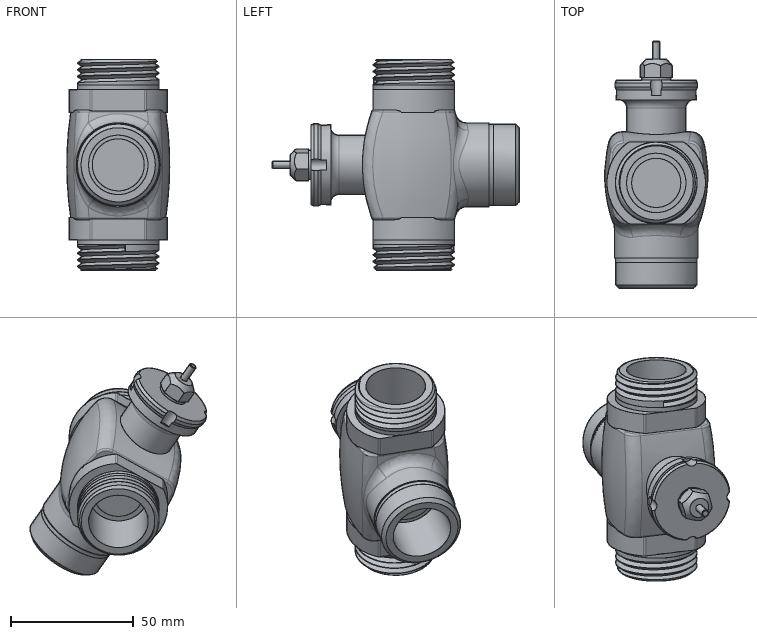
import cadquery as cq
import math

port_reach = 43.0
end_length = 10.5
end_start = port_reach - end_length
end_radius = 16.6
end_chamfer = 1.5
neck_ring_radius = 16.65
bore_radius = 12.1
bore_floor = 20.0

front_turn = 90
vertical_turns = (0, 180)

vertical_plug_radius = 10.0
front_plug_radius = 10.6
front_plug_length = 4.0

thread_pitch = 2.7
thread_depth = 1.8
groove_width = 2.5
groove_start = 1.4
groove_overlap = 0.2
groove_start_angle = 80

collar_bottom = 21.4
collar_top = 30.6
collar_radius = 20.06
collar_half_depth = 16.65
collar_corner_fillet = 1.5
core_end = 22.4
core_end_fillet = 1.0
core_half_width = 21.03
core_half_width_end = 19.3
core_side_radius = 56.6
core_side_center_y = 2.9
core_back = 20.9
core_back_end = 16.9
core_front = 19.0
core_front_end = 16.65
core_side_margin = 1.0
core_corner_fillet = 5.5

branch_radius = 17.1
branch_end = 30.6
branch_fillet = 4.6

bonnet_seat = 16.0
bonnet_neck_radius = 12.1
bonnet_flare_length = 3.3
bonnet_flare_radius = 14.7
flange_back = 33.8
rim_start = 37.8
rim_crest_start = 39.1
rim_crest_end = 40.6
flange_face = 41.9
flange_radius = 16.35
rim_radius = 17.0
notch_count = 4
notch_radius = 2.55
notch_center = 17.8
notch_floor = 35.65

nut_collar_radius = 6.0
nut_hex_start = 42.95
nut_end = 50.4
nut_across_flats = 11.75
nut_turn = 15
nut_end_radius = 4.1
stem_radius = 1.5
stem_end = 57.7
stem_chamfer = 0.3


def revolve_about_y(points):
    """Solid of revolution about Y from (radius, y) points."""
    return cq.Workplane("XY").polyline(points).close().revolve(360, (0, 0, 0), (0, 1, 0))


def cylinder_along_y(radius, start, end):
    return revolve_about_y([(0, start), (radius, start), (radius, end), (0, end)])


def side_barrel(side):
    """Barrel whose outer wall is the bulged core wall on the +X (1) or -X (-1) side."""
    axis_x = side * (core_half_width - core_side_radius)
    wall_end = side * core_half_width_end
    return (
        cq.Workplane("XZ", origin=(0, core_side_center_y, 0))
        .moveTo(axis_x, -core_end)
        .lineTo(wall_end, -core_end)
        .threePointArc((side * core_half_width, 0), (wall_end, core_end))
        .lineTo(axis_x, core_end)
        .close()
        .revolve(360, (axis_x, 0, 0), (axis_x, 1, 0))
    )


def make_core():
    slab = (
        cq.Workplane("YZ")
        .moveTo(-core_front_end, -core_end)
        .lineTo(core_back_end, -core_end)
        .threePointArc((core_back, 0), (core_back_end, core_end))
        .lineTo(-core_front_end, core_end)
        .threePointArc((-core_front, 0), (-core_front_end, -core_end))
        .close()
        .extrude(core_half_width + core_side_margin, both=True)
    )
    core = slab.intersect(side_barrel(1)).intersect(side_barrel(-1))
    corner_edges = core.edges("not(#Z or |X or |Y)").edges("not(<Z or >Z)")
    core = corner_edges.fillet(core_corner_fillet)
    return core.faces("<Z or >Z").edges().fillet(core_end_fillet)


def make_collar(bottom, top):
    """Round wrench collar with two flats facing -Y and +Y."""
    height = top - bottom
    base = cq.Workplane("XY", origin=(0, 0, bottom))
    collar = base.circle(collar_radius).extrude(height)
    flats = base.rect(2 * collar_radius, 2 * collar_half_depth).extrude(height)
    return collar.intersect(flats).edges("|Z").fillet(collar_corner_fillet)


def make_branch():
    ring = cylinder_along_y(neck_ring_radius, -end_start, 0)
    return ring.union(cylinder_along_y(branch_radius, -branch_end, 0))


def is_branch_root(edge):
    """Whether an edge lies where the branch leaves the core's -Y wall."""
    point = edge.positionAt(0.4)
    on_branch = math.isclose(math.hypot(point.x, point.z), branch_radius, abs_tol=0.02)
    return on_branch and -branch_end < point.y - branch_fillet


def make_core_with_branch():
    joined = make_core().union(make_branch()).val()
    root_edges = [edge for edge in joined.Edges() if is_branch_root(edge)]
    return cq.Workplane(joined.fillet(branch_fillet, root_edges))


def make_port_end():
    """Plain chamfered port end pointing along +Z."""
    return (
        cq.Workplane("XY", origin=(0, 0, end_start))
        .circle(end_radius)
        .extrude(end_length)
        .faces(">Z").edges().chamfer(end_chamfer)
    )


def make_threaded_end():
    """Port end pointing along +Z with a right-hand V groove cut into it."""
    helix_height = end_length - groove_start + thread_pitch / 2
    helix = cq.Wire.makeHelix(thread_pitch, helix_height, end_radius)
    flank_slope = groove_width / 2 / thread_depth
    mouth_half = groove_width / 2 + groove_overlap * flank_slope
    groove = (
        cq.Workplane("XZ")
        .moveTo(end_radius - thread_depth, 0)
        .lineTo(end_radius + groove_overlap, -mouth_half)
        .lineTo(end_radius + groove_overlap, mouth_half)
        .close()
        .sweep(cq.Workplane(helix), isFrenet=True)
        .rotate((0, 0, 0), (0, 0, 1), groove_start_angle)
        .translate((0, 0, end_start + groove_start))
    )
    return make_port_end().cut(groove)


def make_vertical_port():
    """Wrench collar, neck ring and threaded end of the upper port."""
    ring = cq.Workplane("XY").circle(neck_ring_radius).extrude(end_start)
    return make_collar(collar_bottom, collar_top).union(ring).union(make_threaded_end())


def make_port_bore():
    return cq.Workplane("XY", origin=(0, 0, bore_floor)).circle(bore_radius).extrude(port_reach - bore_floor)


def turn_about_x(body, angle):
    return body.rotate((0, 0, 0), (1, 0, 0), angle)


def make_vertical_plug():
    """Plug filling the vertical passage between the two bore floors."""
    return cq.Workplane("XY").circle(vertical_plug_radius).extrude(bore_floor, both=True)


def make_front_plug():
    return cylinder_along_y(front_plug_radius, -bore_floor, front_plug_length - bore_floor)


def make_bonnet():
    bonnet = (
        cq.Workplane("XY")
        .moveTo(0, bonnet_seat)
        .lineTo(bonnet_neck_radius, bonnet_seat)
        .lineTo(bonnet_neck_radius, flange_back - bonnet_flare_length)
        .tangentArcPoint((bonnet_flare_radius, flange_back), relative=False)
        .lineTo(flange_radius, flange_back)
        .lineTo(flange_radius, rim_start)
        .lineTo(rim_radius, rim_crest_start)
        .lineTo(rim_radius, rim_crest_end)
        .lineTo(flange_radius, flange_face)
        .lineTo(0, flange_face)
        .close()
        .revolve(360, (0, 0, 0), (0, 1, 0))
    )
    notch = cylinder_along_y(notch_radius, notch_floor, flange_face).translate((0, 0, notch_center))
    for index in range(notch_count):
        bonnet = bonnet.cut(notch.rotate((0, 0, 0), (0, 1, 0), index * 360 / notch_count))
    return bonnet


def make_housing():
    housing = make_core_with_branch()
    housing = housing.union(turn_about_x(make_port_end(), front_turn))
    for turn in vertical_turns:
        housing = housing.union(turn_about_x(make_vertical_port(), turn))
    for turn in (front_turn, *vertical_turns):
        housing = housing.cut(turn_about_x(make_port_bore(), turn))
    bonnet_recess = cylinder_along_y(bonnet_neck_radius, bonnet_seat, core_back)
    return housing.cut(bonnet_recess).cut(make_vertical_plug()).cut(make_front_plug())


def make_nut():
    """Gland nut with a conical end, a round collar and a hole for the stem."""
    hexagon = (
        cq.Workplane("XZ", origin=(0, nut_hex_start, 0))
        .polygon(6, nut_across_flats, circumscribed=True)
        .extrude(nut_hex_start - nut_end)
        .rotate((0, 0, 0), (0, 1, 0), nut_turn)
    )
    cone_length = nut_end - nut_hex_start
    cone = revolve_about_y([
        (0, nut_hex_start),
        (nut_end_radius + cone_length, nut_hex_start),
        (nut_end_radius, nut_end),
        (0, nut_end),
    ])
    collar = cylinder_along_y(nut_collar_radius, flange_face, nut_hex_start)
    stem_hole = cylinder_along_y(stem_radius, flange_face, nut_end)
    return hexagon.intersect(cone).union(collar).cut(stem_hole)


def make_stem():
    return cylinder_along_y(stem_radius, flange_face, stem_end).faces(">Y").edges().chamfer(stem_chamfer)


housing = make_housing()
vertical_plug = make_vertical_plug()
front_plug = make_front_plug()
bonnet = make_bonnet()
gland_nut = make_nut()
stem = make_stem()

result = cq.Compound.makeCompound([
    housing.val(),
    vertical_plug.val(),
    front_plug.val(),
    bonnet.val(),
    gland_nut.val(),
    stem.val(),
])